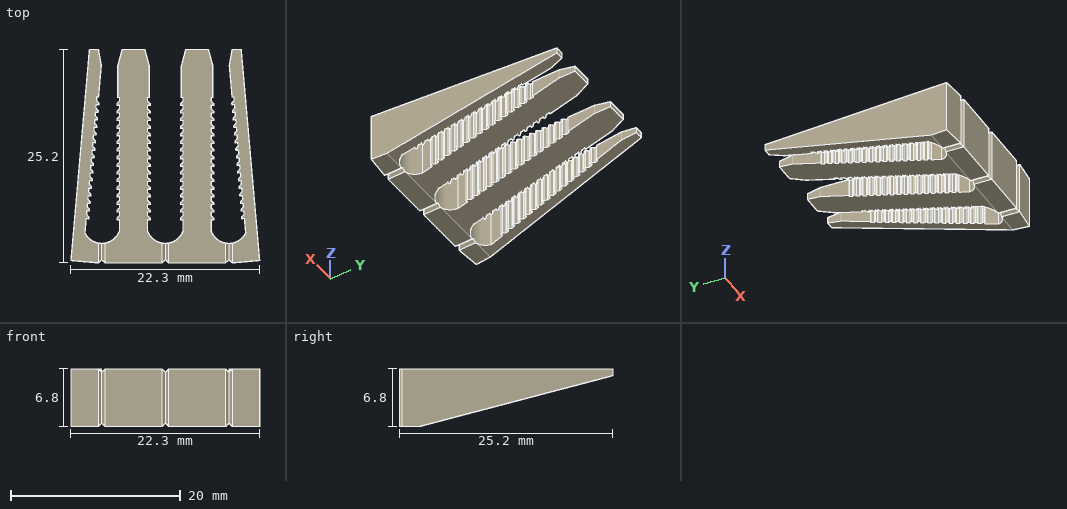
import cadquery as cq
import math

LENGTH = 25.2
HEIGHT = 6.8
TIP_HEIGHT = 0.8
FLAT_LENGTH = 2.4

FINGER_PITCH = 7.5
FINGER_HALF_WIDTH = 1.875

HINGE_X = 7.9
LEAN_ANGLE = 5.0
OUTER_SIDE = 3.26
OUTER_THICKNESS = 1.59

TOOTH_PITCH = 0.9
TOOTH_COUNT = 16
FIRST_TOOTH_Y = 5.1
CREST_RISE = 0.1
ROOT_DROP = 0.2
CREST_LENGTH = 0.2
TAPER_ANGLE = 15.0
TAPER_START_Y = 23.25

SLOT_CENTERS_X = (-FINGER_PITCH, 0.0, FINGER_PITCH)
SLOT_RADIUS = 2.22
WEB_LENGTH = 2.33
SLOT_CENTER_Y = WEB_LENGTH + SLOT_RADIUS
GROOVE_HALF_WIDTH = 0.4
GROOVE_DEPTH = 0.38

FINGER_OVERSHOOT = 1.0


def gripping_edge():
    """(offset from the smooth edge, y) points, from the back to past the tip."""
    slope_length = CREST_RISE + ROOT_DROP
    points = [(-ROOT_DROP, 0.0)]
    for i in range(TOOTH_COUNT):
        y = FIRST_TOOTH_Y + i * TOOTH_PITCH
        points += [
            (-ROOT_DROP, y),
            (CREST_RISE, y),
            (CREST_RISE, y + CREST_LENGTH),
            (-ROOT_DROP, y + CREST_LENGTH + slope_length),
        ]
    teeth_end_y = FIRST_TOOTH_Y + TOOTH_COUNT * TOOTH_PITCH
    tip_y = LENGTH + FINGER_OVERSHOOT
    taper_drop = (tip_y - TAPER_START_Y) * math.tan(math.radians(TAPER_ANGLE))
    points += [
        (-ROOT_DROP, teeth_end_y),
        (0.0, teeth_end_y),
        (0.0, TAPER_START_Y),
        (-taper_drop, tip_y),
    ]
    return points


def extrude_outline(points):
    return cq.Workplane("XY").polyline(points).close().extrude(HEIGHT)


def block(x_min, x_max, depth):
    return cq.Workplane("XY").box(x_max - x_min, depth, HEIGHT, centered=False).translate((x_min, 0, 0))


def middle_finger(center_x):
    right = [(center_x + FINGER_HALF_WIDTH + d, y) for d, y in gripping_edge()]
    left = [(center_x - FINGER_HALF_WIDTH - d, y) for d, y in gripping_edge()]
    return extrude_outline(right + left[::-1])


def outer_finger():
    """Left outer finger, upright, with the hinge line at X = 0."""
    smooth_x = OUTER_THICKNESS - OUTER_SIDE
    inner = [(smooth_x + d, y) for d, y in gripping_edge()]
    tip_y = inner[-1][1]
    return extrude_outline(inner + [(-OUTER_SIDE, tip_y), (-OUTER_SIDE, 0.0)])


def lean(body):
    """Tilt an upright left side body inwards and move it to its hinge line."""
    return body.rotate((0, 0, 0), (0, 0, 1), -LEAN_ANGLE).translate((-HINGE_X, 0, 0))


def with_mirror(body):
    return body.union(body.mirror("YZ"))


def base():
    body = block(-HINGE_X, HINGE_X, SLOT_CENTER_Y)
    body = body.union(with_mirror(lean(block(-OUTER_SIDE, 0.0, SLOT_CENTER_Y))))
    slots = cq.Workplane("XY").pushPoints([(x, SLOT_CENTER_Y) for x in SLOT_CENTERS_X])
    return body.cut(slots.circle(SLOT_RADIUS).extrude(HEIGHT))


def wedge():
    outline = [
        (0, 0),
        (FLAT_LENGTH, 0),
        (LENGTH, HEIGHT - TIP_HEIGHT),
        (LENGTH, HEIGHT),
        (0, HEIGHT),
    ]
    half_span = HINGE_X + OUTER_SIDE
    return cq.Workplane("YZ").polyline(outline).close().extrude(half_span, both=True)


def web_grooves(center_x):
    """V grooves across the back, top and bottom of one web."""
    vee = [(-GROOVE_HALF_WIDTH, 0), (GROOVE_HALF_WIDTH, 0), (0, GROOVE_DEPTH)]
    back = extrude_outline(vee)
    bottom = cq.Workplane("XZ").polyline(vee).close().extrude(-SLOT_CENTER_Y)
    top = bottom.mirror("XY").translate((0, 0, HEIGHT))
    return back.union(bottom).union(top).translate((center_x, 0, 0))


result = base()
for side in (-1, 1):
    result = result.union(middle_finger(side * FINGER_PITCH / 2))
result = result.union(with_mirror(lean(outer_finger())))
result = result.intersect(wedge())
for slot_x in SLOT_CENTERS_X:
    result = result.cut(web_grooves(slot_x))